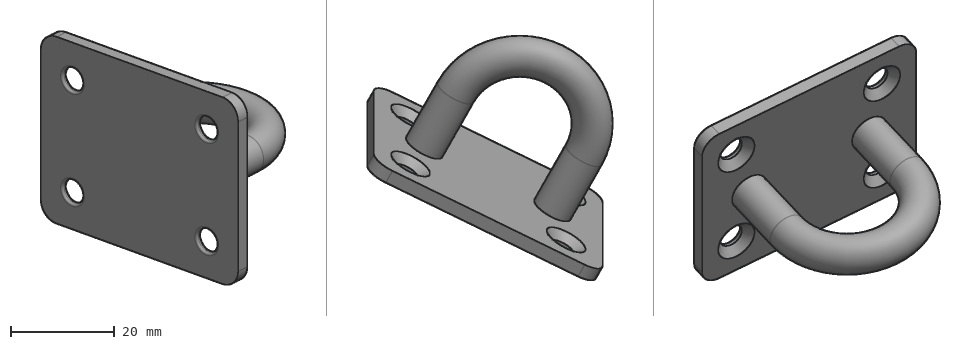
import cadquery as cq
import math

plate_width = 50.0
plate_height = 40.0
plate_thickness = 2.8
corner_radius = 4.0

hole_spacing_x = 34.0
hole_spacing_z = 24.0
hole_diameter = 5.0
mouth_rounding = 0.5
countersink_diameter = 8.5
countersink_angle = 90.0

total_depth = 33.8
bar_diameter = 8.0
leg_spacing = 28.0
bend_radius = leg_spacing / 2
bend_center_y = total_depth - bend_radius - bar_diameter / 2


def make_plate():
    """Plate with rounded corners, reaching from Y = 0 to Y = plate_thickness."""
    return (
        cq.Workplane("XZ")
        .rect(plate_width, plate_height)
        .extrude(-plate_thickness)
        .edges("|Y")
        .fillet(corner_radius)
    )


def make_screw_hole(x, z):
    """Cutter for a through hole, rounded at the front face and countersunk from the back face."""
    hole_radius = hole_diameter / 2
    mouth_radius = hole_radius + mouth_rounding
    countersink_radius = countersink_diameter / 2
    countersink_depth = (countersink_radius - hole_radius) / math.tan(math.radians(countersink_angle / 2))
    half_profile = (
        cq.Workplane("XY")
        .lineTo(mouth_radius, 0)
        .radiusArc((hole_radius, mouth_rounding), mouth_rounding)
        .lineTo(hole_radius, plate_thickness - countersink_depth)
        .lineTo(countersink_radius, plate_thickness)
        .lineTo(0, plate_thickness)
        .close()
    )
    return half_profile.revolve(360, (0, 0, 0), (0, 1, 0)).translate((x, 0, z))


def make_bar():
    """Round bar swept along two straight legs joined by a half-circle bend."""
    path = (
        cq.Workplane("XY")
        .moveTo(-bend_radius, plate_thickness)
        .lineTo(-bend_radius, bend_center_y)
        .threePointArc((0, bend_center_y + bend_radius), (bend_radius, bend_center_y))
        .lineTo(bend_radius, plate_thickness)
    )
    return (
        cq.Workplane("XZ", origin=(-bend_radius, plate_thickness, 0))
        .circle(bar_diameter / 2)
        .sweep(path)
    )


result = make_plate().union(make_bar())
for side_x in (-1, 1):
    for side_z in (-1, 1):
        result = result.cut(make_screw_hole(side_x * hole_spacing_x / 2, side_z * hole_spacing_z / 2))